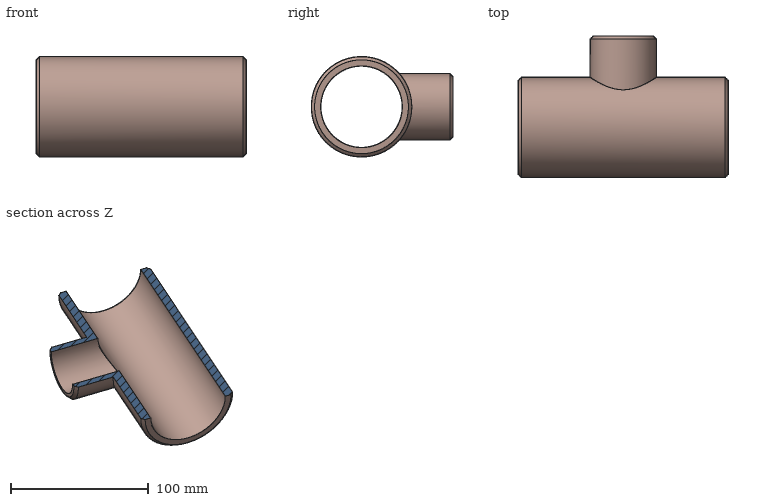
import cadquery as cq

run_length = 152.4
run_diameter = 73.0
run_wall = 7.0
overall_depth = 103.0
branch_diameter = 48.3
branch_wall = 5.0
end_chamfer = 2.5

branch_reach = overall_depth - run_diameter / 2


def run_cylinder(diameter):
    """Cylinder along X, centred on the origin."""
    return cq.Workplane("YZ").circle(diameter / 2).extrude(run_length / 2, both=True)


def branch_cylinder(diameter):
    """Cylinder from the run axis to the branch end, along +Y."""
    return cq.Workplane("XZ").circle(diameter / 2).extrude(-branch_reach)


run_body = run_cylinder(run_diameter).faces("<X or >X").chamfer(end_chamfer)
branch_body = branch_cylinder(branch_diameter).faces(">Y").chamfer(end_chamfer)

run_bore = run_cylinder(run_diameter - 2 * run_wall)
branch_bore = branch_cylinder(branch_diameter - 2 * branch_wall)

result = run_body.union(branch_body).cut(run_bore).cut(branch_bore)